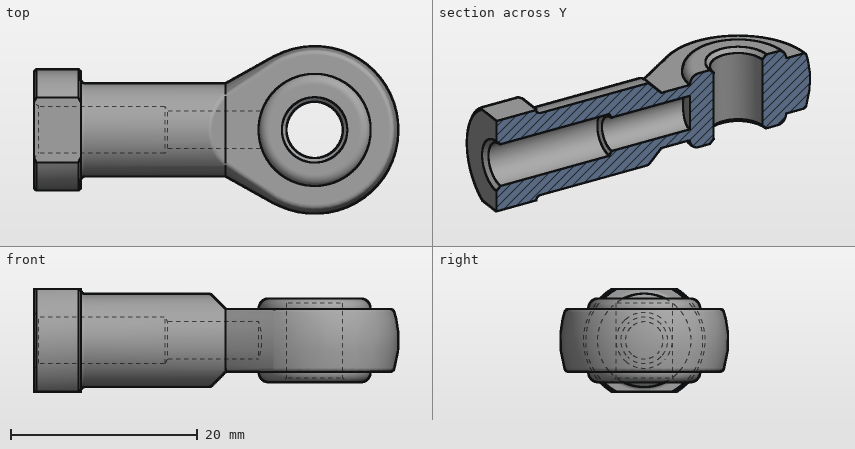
import cadquery as cq
import math


shank_end_x = -30.0
shank_radius = 5.0
collar_length = 5.0
collar_radius = 6.5
collar_chamfer = 0.25
collar_flat_width = 11.0
collar_neck_fillet = 0.45

eye_radius = 9.0
eye_thickness = 6.75
eye_barrel_radius = 10.0
eye_edge_fillet = 0.5
taper_start_x = -9.5

ring_radius = 6.0
ring_width = 9.0
ring_bore_radius = 3.0
ring_bore_chamfer = 0.5

thread_radius = 2.5
thread_depth = 14.0
thread_chamfer = 0.5
pilot_radius = 2.0
drill_point_angle = 120.0

edge_tolerance = 0.01

half_thickness = eye_thickness / 2
slope_drop = shank_radius - half_thickness

flank_start_distance = math.hypot(taper_start_x, shank_radius)
tangent_angle = math.atan2(shank_radius, taper_start_x) - math.acos(eye_radius / flank_start_distance)
taper_end_x = eye_radius * math.cos(tangent_angle)


def barrel_radius_at(z):
    """Radius of the crowned eye rim at height z."""
    return eye_radius - eye_barrel_radius + math.sqrt(eye_barrel_radius**2 - z**2)


def make_shank():
    """Round shank and collar turned about X, with two wrench flats on the collar."""
    collar_end_x = shank_end_x + collar_length
    neck_radius = shank_radius + collar_neck_fillet
    arc_offset = collar_neck_fillet * (1 - math.sqrt(0.5))
    turned = (
        cq.Workplane("XY")
        .moveTo(shank_end_x, 0)
        .lineTo(shank_end_x, collar_radius - collar_chamfer)
        .lineTo(shank_end_x + collar_chamfer, collar_radius)
        .lineTo(collar_end_x - collar_chamfer, collar_radius)
        .lineTo(collar_end_x, collar_radius - collar_chamfer)
        .lineTo(collar_end_x, neck_radius)
        .threePointArc(
            (collar_end_x + arc_offset, shank_radius + arc_offset),
            (collar_end_x + collar_neck_fillet, shank_radius),
        )
        .lineTo(taper_start_x, shank_radius)
        .lineTo(taper_start_x, 0)
        .close()
        .revolve(360, (0, 0, 0), (1, 0, 0))
    )
    length = taper_start_x - shank_end_x
    envelope = cq.Workplane("XY").box(length, 2 * collar_radius, collar_flat_width).translate(
        (shank_end_x + length / 2, 0, 0)
    )
    return turned.intersect(envelope)


def cut_shank_slopes(shank):
    """Slope the shank top and bottom at 45 degrees down to the eye thickness."""
    wedge_size = 2 * slope_drop
    for side in (1, -1):
        wedge = (
            cq.Workplane("XZ")
            .moveTo(taper_start_x, side * half_thickness)
            .lineTo(taper_start_x - wedge_size, side * (half_thickness + wedge_size))
            .lineTo(taper_start_x, side * (half_thickness + wedge_size))
            .close()
            .extrude(shank_radius, both=True)
        )
        shank = shank.cut(wedge)
    return shank


def make_eye():
    """Crowned disc about Z, trimmed where the flanks begin."""
    face_radius = barrel_radius_at(half_thickness)
    disc = (
        cq.Workplane("XZ")
        .moveTo(0, -half_thickness)
        .lineTo(face_radius, -half_thickness)
        .threePointArc((eye_radius, 0), (face_radius, half_thickness))
        .lineTo(0, half_thickness)
        .close()
        .revolve(360, (0, 0, 0), (0, 1, 0))
    )
    trim_length = eye_radius - taper_end_x
    trim = cq.Workplane("XY").box(trim_length, 2 * eye_radius, eye_thickness).translate(
        (taper_end_x + trim_length / 2, 0, 0)
    )
    return disc.intersect(trim)


def make_taper(eye):
    """Ruled transition from the round shank to the cut end of the eye."""
    eye_section = eye.faces("<X").wires().val()
    corner_y = math.sqrt(shank_radius**2 - half_thickness**2)
    shank_section = (
        cq.Workplane("YZ", origin=(taper_start_x, 0, 0))
        .moveTo(-corner_y, -half_thickness)
        .lineTo(corner_y, -half_thickness)
        .threePointArc((shank_radius, 0), (corner_y, half_thickness))
        .lineTo(-corner_y, half_thickness)
        .threePointArc((-shank_radius, 0), (-corner_y, -half_thickness))
        .close()
        .val()
    )
    return cq.Workplane(cq.Solid.makeLoft([shank_section, eye_section], True))


def make_body():
    """Shank, taper and eye joined, with the rims of the flat and sloped faces rounded."""
    eye = make_eye()
    body = cut_shank_slopes(make_shank()).union(make_taper(eye)).union(eye).clean()
    for side in (1, -1):
        rim_zone = cq.selectors.BoxSelector(
            (taper_start_x - slope_drop, -eye_radius, side * (half_thickness - edge_tolerance)),
            (eye_radius, eye_radius, side * (shank_radius + edge_tolerance)),
        )
        body = body.edges(rim_zone).edges("not |Y").fillet(eye_edge_fillet)
    return body


def make_shank_hole_cutter():
    """Chamfered thread core with a drill-point step into a pilot that reaches the ring."""
    step_length = (thread_radius - pilot_radius) / math.tan(math.radians(drill_point_angle / 2))
    thread_end_x = shank_end_x + thread_depth
    return (
        cq.Workplane("XY")
        .moveTo(shank_end_x, 0)
        .lineTo(shank_end_x, thread_radius + thread_chamfer)
        .lineTo(shank_end_x + thread_chamfer, thread_radius)
        .lineTo(thread_end_x, thread_radius)
        .lineTo(thread_end_x + step_length, pilot_radius)
        .lineTo(0, pilot_radius)
        .lineTo(0, 0)
        .close()
        .revolve(360, (0, 0, 0), (1, 0, 0))
    )


def make_ring():
    """Solid cylinder for the inner ring; its outer edges round off down to the eye faces."""
    rim_fillet = (ring_width - eye_thickness) / 2
    return (
        cq.Workplane("XY")
        .circle(ring_radius)
        .extrude(ring_width / 2, both=True)
        .edges("%CIRCLE")
        .fillet(rim_fillet)
    )


def make_ring_bore_cutter():
    """Through bore of the inner ring with a chamfer at each mouth."""
    half_width = ring_width / 2
    mouth_radius = ring_bore_radius + ring_bore_chamfer
    return (
        cq.Workplane("XZ")
        .moveTo(0, -half_width)
        .lineTo(mouth_radius, -half_width)
        .lineTo(ring_bore_radius, -half_width + ring_bore_chamfer)
        .lineTo(ring_bore_radius, half_width - ring_bore_chamfer)
        .lineTo(mouth_radius, half_width)
        .lineTo(0, half_width)
        .close()
        .revolve(360, (0, 0, 0), (0, 1, 0))
    )


result = (
    make_body()
    .cut(make_shank_hole_cutter())
    .union(make_ring())
    .cut(make_ring_bore_cutter())
)